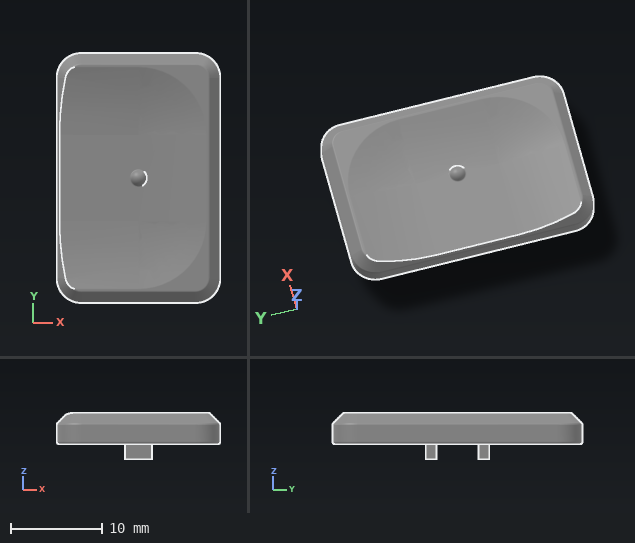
import cadquery as cq
import math

WIDTH = 18.0
LENGTH = 27.5
BODY_HEIGHT = 3.5
CORNER_RADIUS = 2.75
TOP_CHAMFER = 1.25
EDGE_FILLET = 0.3

DISH_DEPTH = 0.9
DISH_FLAT_HALF_LENGTH = 4.73
DISH_REACH = 7.45
DISH_RIM_FILLET = 0.5
CUT_CLEARANCE = 0.28

DOME_FOOT_RADIUS = 1.0
DOME_HEIGHT = 0.55
DOME_FOOT_FILLET = 0.2
DOME_ROOT = 0.28

PEG_WIDTH = 3.0
PEG_THICKNESS = 1.2
PEG_HEIGHT = 1.65
PEG_SPACING = 5.78

DISH_FLOOR = BODY_HEIGHT - DISH_DEPTH
CUT_TOP = BODY_HEIGHT + CUT_CLEARANCE


def make_body():
    slab = cq.Workplane("XY").rect(WIDTH, LENGTH).extrude(BODY_HEIGHT)
    slab = slab.edges("|Z").fillet(CORNER_RADIUS)
    slab = slab.faces(">Z").edges().chamfer(TOP_CHAMFER)
    shoulder = cq.selectors.BoxSelector(
        (-WIDTH, -LENGTH, BODY_HEIGHT - TOP_CHAMFER - EDGE_FILLET),
        (WIDTH, LENGTH, BODY_HEIGHT - TOP_CHAMFER + EDGE_FILLET),
    )
    slab = slab.edges(shoulder).fillet(EDGE_FILLET)
    slab = slab.faces(">Z").edges().fillet(EDGE_FILLET)
    return slab.faces("<Z").edges().fillet(EDGE_FILLET)


def point_on_circle(centre, radius, angle):
    return (centre[0] + radius * math.cos(angle), centre[1] + radius * math.sin(angle))


def dish_wall_profile(plane):
    """Section from the flat floor outwards: an arc tangent to the floor, then a small rounded rim."""
    arc_radius = (DISH_REACH**2 + DISH_DEPTH**2) / (2 * DISH_DEPTH)
    arc_centre = (0, DISH_FLOOR + arc_radius)
    rim_drop = arc_centre[1] - (BODY_HEIGHT - DISH_RIM_FILLET)
    rim_x = math.sqrt((arc_radius + DISH_RIM_FILLET) ** 2 - rim_drop**2)
    rim_centre = (rim_x, BODY_HEIGHT - DISH_RIM_FILLET)
    floor_angle = -math.pi / 2
    join_angle = math.atan2(-rim_drop, rim_x)
    rim_join_angle = join_angle + math.pi
    rim_top_angle = math.pi / 2
    return (
        cq.Workplane(plane)
        .moveTo(0, DISH_FLOOR)
        .threePointArc(
            point_on_circle(arc_centre, arc_radius, (floor_angle + join_angle) / 2),
            point_on_circle(arc_centre, arc_radius, join_angle),
        )
        .threePointArc(
            point_on_circle(rim_centre, DISH_RIM_FILLET, (rim_join_angle + rim_top_angle) / 2),
            (rim_x, BODY_HEIGHT),
        )
        .lineTo(rim_x, CUT_TOP)
        .lineTo(0, CUT_TOP)
        .close()
    )


def make_dish():
    """Solid to cut away: flat floor, straight walls and round corners."""
    flat_length = 2 * DISH_FLAT_HALF_LENGTH
    floor_cut = cq.Workplane("XY").box(
        WIDTH, flat_length, CUT_TOP - DISH_FLOOR, centered=(False, True, False)
    )
    dish = floor_cut.translate((-WIDTH, 0, DISH_FLOOR))
    wall_plane = cq.Plane(origin=(0, DISH_FLAT_HALF_LENGTH, 0), xDir=(1, 0, 0), normal=(0, -1, 0))
    dish = dish.union(dish_wall_profile(wall_plane).extrude(flat_length))
    for side in (-1, 1):
        end_start = (0, side * DISH_FLAT_HALF_LENGTH, 0)
        end_plane = cq.Plane(origin=end_start, xDir=(0, side, 0), normal=(side, 0, 0))
        dish = dish.union(dish_wall_profile(end_plane).extrude(-side * WIDTH))
        corner_plane = cq.Plane(origin=end_start, xDir=(1, 0, 0), normal=(0, -1, 0))
        corner = dish_wall_profile(corner_plane).revolve(360, (0, 0, 0), (0, 1, 0))
        dish = dish.union(corner)
    return dish


def make_dome():
    """Spherical cap blended into the dish floor by a hollow foot fillet."""
    centre_distance = (DOME_FOOT_RADIUS**2 + DOME_HEIGHT**2) / (2 * DOME_HEIGHT)
    cap_radius = centre_distance - DOME_FOOT_FILLET
    apex = DISH_FLOOR + DOME_HEIGHT
    cap_centre = (0, apex - cap_radius)
    foot_centre = (DOME_FOOT_RADIUS, DISH_FLOOR + DOME_FOOT_FILLET)
    join_angle = math.atan2(foot_centre[1] - cap_centre[1], foot_centre[0])
    foot_join_angle = join_angle + math.pi
    foot_floor_angle = 3 * math.pi / 2
    profile = (
        cq.Workplane("XZ")
        .moveTo(0, apex)
        .threePointArc(
            point_on_circle(cap_centre, cap_radius, (math.pi / 2 + join_angle) / 2),
            point_on_circle(cap_centre, cap_radius, join_angle),
        )
        .threePointArc(
            point_on_circle(foot_centre, DOME_FOOT_FILLET, (foot_join_angle + foot_floor_angle) / 2),
            (DOME_FOOT_RADIUS, DISH_FLOOR),
        )
        .lineTo(DOME_FOOT_RADIUS, DISH_FLOOR - DOME_ROOT)
        .lineTo(0, DISH_FLOOR - DOME_ROOT)
        .close()
    )
    return profile.revolve(360, (0, 0, 0), (0, 1, 0))


def make_pegs():
    pegs = cq.Workplane("XY").pushPoints([(0, -PEG_SPACING / 2), (0, PEG_SPACING / 2)])
    return pegs.rect(PEG_WIDTH, PEG_THICKNESS).extrude(-PEG_HEIGHT)


result = make_body().cut(make_dish()).union(make_dome()).union(make_pegs())